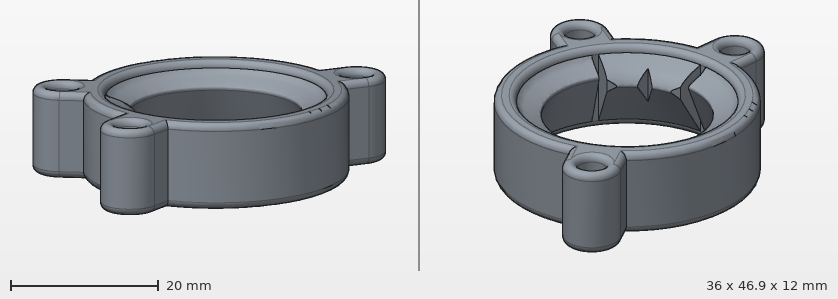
import cadquery as cq
import math

height = 12.0

ring_radius = 36.0 / 2
bore_radius = 15.0

ear_radius = 4.0
ear_hole_radius = 4.0 / 2
edge_round = (ear_radius - ear_hole_radius) / 2
neck_inner_reach = 16.15
ear_centres = [(0, 21.0), (-10.75, -17.9), (10.75, -17.9)]

seat_bottom = edge_round
seat_top = height - edge_round

lip_curve = [(13.6, 10.0), (12.05, 9.45), (11.65, 9.2), (11.65, 8.8)]

flap_curve = [(13.1, 10.35), (10.65, 8.5), (10.5, 8.25), (10.55, 7.95)]

slit_angle = 30.0
slit_width = 0.95
flap_flat_y = -9.8
notch_mouth_half_width = 1.05
notch_mouth_y = -10.4
notch_tip_y = -12.4


def rounded_ring():
    """Ring whose four circular rims are rounded."""
    ring = cq.Workplane("XY").circle(ring_radius).circle(bore_radius).extrude(height)
    return ring.edges("%CIRCLE").fillet(edge_round)


def ear_neck(reach):
    """Straight neck along +X with rounded long edges, hollowed where the eye sits."""
    length = reach - neck_inner_reach
    neck = (
        cq.Workplane("XY")
        .box(length, 2 * ear_radius, height, centered=(False, True, False))
        .translate((neck_inner_reach, 0, 0))
        .edges("|X")
        .fillet(edge_round)
    )
    eye_seat = cq.Workplane("XY").center(reach, 0).circle(ear_radius - edge_round).extrude(height)
    return neck.cut(eye_seat)


def ear_eye(reach):
    """Tube around the screw hole, with fully rounded ends."""
    crest_radius = ear_radius - edge_round
    return (
        cq.Workplane("XZ")
        .moveTo(ear_hole_radius, edge_round)
        .threePointArc((crest_radius, 0), (ear_radius, edge_round))
        .lineTo(ear_radius, height - edge_round)
        .threePointArc((crest_radius, height), (ear_hole_radius, height - edge_round))
        .close()
        .revolve(360, (0, 0, 0), (0, 1, 0))
        .translate((reach, 0, 0))
    )


def make_ear(centre):
    """Ear built along +X, then turned to point at its centre."""
    x, y = centre
    reach = math.hypot(x, y)
    direction = math.degrees(math.atan2(y, x))
    ear = ear_neck(reach).union(ear_eye(reach))
    return ear.rotate((0, 0, 0), (0, 0, 1), direction)


def make_housing():
    housing = rounded_ring()
    for centre in ear_centres:
        housing = housing.union(make_ear(centre))
    return housing


def seal_ring(face_curve):
    """Full ring on the bore wall: curved upper face, rounded nose and conical underside."""
    return (
        cq.Workplane("XZ")
        .moveTo(bore_radius, seat_bottom)
        .lineTo(bore_radius, seat_top)
        .spline(face_curve, includeCurrent=True)
        .close()
        .revolve(360, (0, 0, 0), (0, 1, 0))
    )


def flap_sector():
    """Wedge between the centre lines of the two slits."""
    depth = 2 * bore_radius
    half_width = depth * math.tan(math.radians(slit_angle))
    corners = [(0, 0), (-half_width, -depth), (half_width, -depth)]
    return cq.Workplane("XY").polyline(corners).close().extrude(height)


def cut_slits(body):
    """Cut both radial slits through the full height."""
    for angle in (-slit_angle, slit_angle):
        slit = cq.Workplane("XY").rect(slit_width, 2 * bore_radius).extrude(height)
        slit = slit.translate((0, -bore_radius, 0)).rotate((0, 0, 0), (0, 0, 1), angle)
        body = body.cut(slit)
    return body


def make_lip():
    return cut_slits(seal_ring(lip_curve).cut(flap_sector()))


def make_flap():
    flap = cut_slits(seal_ring(flap_curve).intersect(flap_sector()))
    trim = cq.Workplane("XY").rect(2 * bore_radius, -2 * flap_flat_y).extrude(height)
    flap = flap.cut(trim)
    notch = (
        cq.Workplane("XY")
        .moveTo(0, notch_tip_y)
        .lineTo(notch_mouth_half_width, notch_mouth_y)
        .lineTo(notch_mouth_half_width, flap_flat_y)
        .lineTo(-notch_mouth_half_width, flap_flat_y)
        .lineTo(-notch_mouth_half_width, notch_mouth_y)
        .close()
        .extrude(height)
    )
    return flap.cut(notch)


housing = make_housing()
lip = make_lip()
flap = make_flap()

result = cq.Compound.makeCompound([housing.val(), lip.val(), flap.val()])